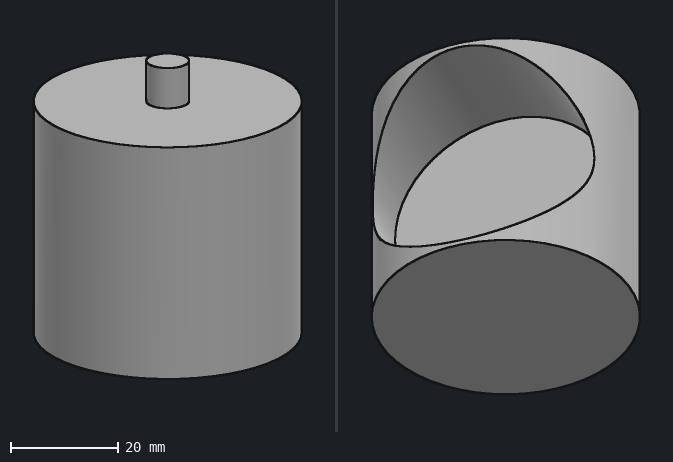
import cadquery as cq

total_height = 54.0
body_diameter = 50.0
pin_diameter = 8.0
pin_height = 8.0
recess_diameter = 44.0

body_height = total_height - pin_height
body_radius = body_diameter / 2

body = cq.Workplane("XY").circle(body_radius).extrude(body_height)

pin = (
    cq.Workplane("XY")
    .workplane(offset=body_height)
    .circle(pin_diameter / 2)
    .extrude(pin_height)
)

recess = (
    cq.Workplane("XZ")
    .center(0, body_height / 2)
    .circle(recess_diameter / 2)
    .extrude(-body_radius)
)

result = body.union(pin).cut(recess)